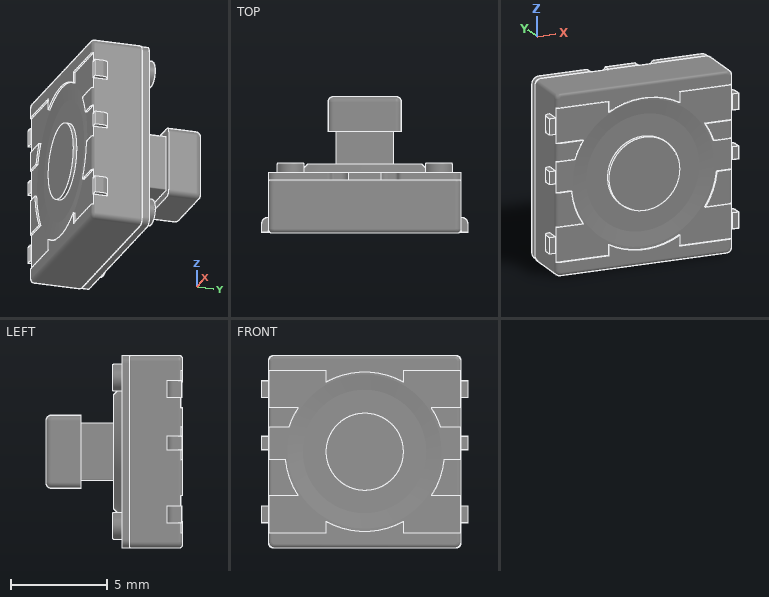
import cadquery as cq


overall_width = 10.71
body_size = 10.0
body_half = body_size / 2
body_top = 2.75
body_corner_radius = 0.3
mounting_edge_radius = 0.2
body_rim_bevel_height = 0.07
body_rim_bevel_width = 0.02

recess_depth = 0.1
recess_ring_radius = 4.13
dish_outer_radius = 4.0
dish_inner_radius = 3.2
dish_depth = 0.1
boss_radius = 2.0
corner_pad_z = 3.25
corner_pad_width = 1.93
middle_pad_z = 0.44
middle_pad_width = 1.7

terminal_bottom = 0.04
terminal_top = 0.82
terminal_bend_radius = 0.34
corner_terminal_z = 3.25
corner_terminal_width = 0.89
middle_terminal_z = 0.45
middle_terminal_width = 0.71

lid_top = 3.15
lid_corner_radius = 0.41
notch_depth = 0.25
notch_inner_x = 0.85
notch_floor_start_x = 1.21
notch_floor_end_x = 1.57
notch_bend_x = 1.74
notch_outer_x = 1.94

rivet_radius = 0.71
rivet_top = 3.65
rivet_edge_radius = 0.1
rivet_offset = 3.85

dome_top = 3.6
dome_top_radius = 2.96
dome_base_radius = dome_top_radius + dome_top - lid_top

stem_size = 3.0
stem_edge_radius = 0.05
cap_size = 3.8
cap_bottom = 5.27
cap_top = 7.1
cap_edge_radius = 0.3


def plane_at(y):
    """XZ workplane at height y: local axes are X and Z, extrusion runs along +Y."""
    return cq.Workplane(cq.Plane(origin=(0, y, 0), xDir=(1, 0, 0), normal=(0, -1, 0)))


def square_block(size, bottom, top):
    return plane_at(bottom).rect(size, size).extrude(bottom - top)


def disc(radius, bottom, top):
    return plane_at(bottom).circle(radius).extrude(bottom - top)


def cone(bottom_radius, top_radius, bottom, top):
    profile = [(0, bottom), (bottom_radius, bottom), (top_radius, top), (0, top)]
    return cq.Workplane("XY").polyline(profile).close().revolve(360, (0, 0, 0), (0, 1, 0))


def make_body():
    body = square_block(body_size, 0, body_top).edges("|Y").fillet(body_corner_radius)
    body = body.faces("<Y").edges().fillet(mounting_edge_radius)
    return body.faces(">Y").chamfer(body_rim_bevel_height, body_rim_bevel_width)


def pad_channel(center_z, width, inner_x):
    """Strips of recess on both sides, running from inner_x out through the body side."""
    length = overall_width / 2 - inner_x
    center_x = inner_x + length / 2
    strips = plane_at(0).pushPoints([(-center_x, center_z), (center_x, center_z)])
    return strips.rect(length, width).extrude(-recess_depth)


def make_mounting_face_recess():
    dish_floor = recess_depth + dish_depth
    recess = disc(recess_ring_radius, 0, recess_depth)
    recess = recess.union(cone(dish_outer_radius, dish_inner_radius, recess_depth, dish_floor))
    for z in (-corner_pad_z, corner_pad_z):
        recess = recess.union(pad_channel(z, corner_pad_width, boss_radius))
    recess = recess.union(pad_channel(middle_pad_z, middle_pad_width, boss_radius))
    return recess.cut(disc(boss_radius, 0, dish_floor))


def make_terminal_pair(center_z, width):
    """Two bent terminals standing on the body sides, their outer upper edges rounded."""
    height = terminal_top - terminal_bottom
    center_y = terminal_bottom + height / 2
    bar = cq.Workplane("XY").box(overall_width, height, width)
    bar = bar.edges("|Z and >Y").fillet(terminal_bend_radius)
    return bar.cut(cq.Workplane("XY").box(body_size, height, width)).translate((0, center_y, center_z))


def make_lid_notch():
    """Notch in the +Z lid edge: a round inner wall, a flat floor and an S-shaped outer wall."""
    floor_z = body_half - notch_depth
    inner_wall_width = notch_floor_start_x - notch_inner_x
    inner_wall_radius = (inner_wall_width**2 + notch_depth**2) / (2 * notch_depth)
    bend_fraction = (notch_bend_x - notch_floor_end_x) / (notch_outer_x - notch_floor_end_x)
    bend_z = floor_z + bend_fraction * notch_depth
    return (
        plane_at(body_top)
        .moveTo(notch_inner_x, body_half)
        .radiusArc((notch_floor_start_x, floor_z), -inner_wall_radius)
        .lineTo(notch_floor_end_x, floor_z)
        .tangentArcPoint((notch_bend_x, bend_z), relative=False)
        .tangentArcPoint((notch_outer_x, body_half), relative=False)
        .close()
        .extrude(body_top - lid_top)
    )


def make_lid():
    lid = square_block(body_size, body_top, lid_top).edges("|Y").fillet(lid_corner_radius)
    notch = make_lid_notch()
    lid = lid.cut(notch).cut(notch.mirror("YZ"))
    return lid.union(cone(dome_base_radius, dome_top_radius, lid_top, dome_top))


def make_rivet(x, z):
    rivet = disc(rivet_radius, lid_top, rivet_top).faces(">Y").edges().fillet(rivet_edge_radius)
    return rivet.translate((x, 0, z))


def make_stem():
    stem = square_block(stem_size, dome_top, cap_bottom).edges("|Y").fillet(stem_edge_radius)
    cap = square_block(cap_size, cap_bottom, cap_top).edges("|Y or >Y").fillet(cap_edge_radius)
    return stem.union(cap)


body = make_body().cut(make_mounting_face_recess())

for z in (-corner_terminal_z, corner_terminal_z):
    body = body.union(make_terminal_pair(z, corner_terminal_width))
body = body.union(make_terminal_pair(middle_terminal_z, middle_terminal_width))

body = body.union(make_lid())
for x in (-rivet_offset, rivet_offset):
    for z in (-rivet_offset, rivet_offset):
        body = body.union(make_rivet(x, z))

result = body.union(make_stem())